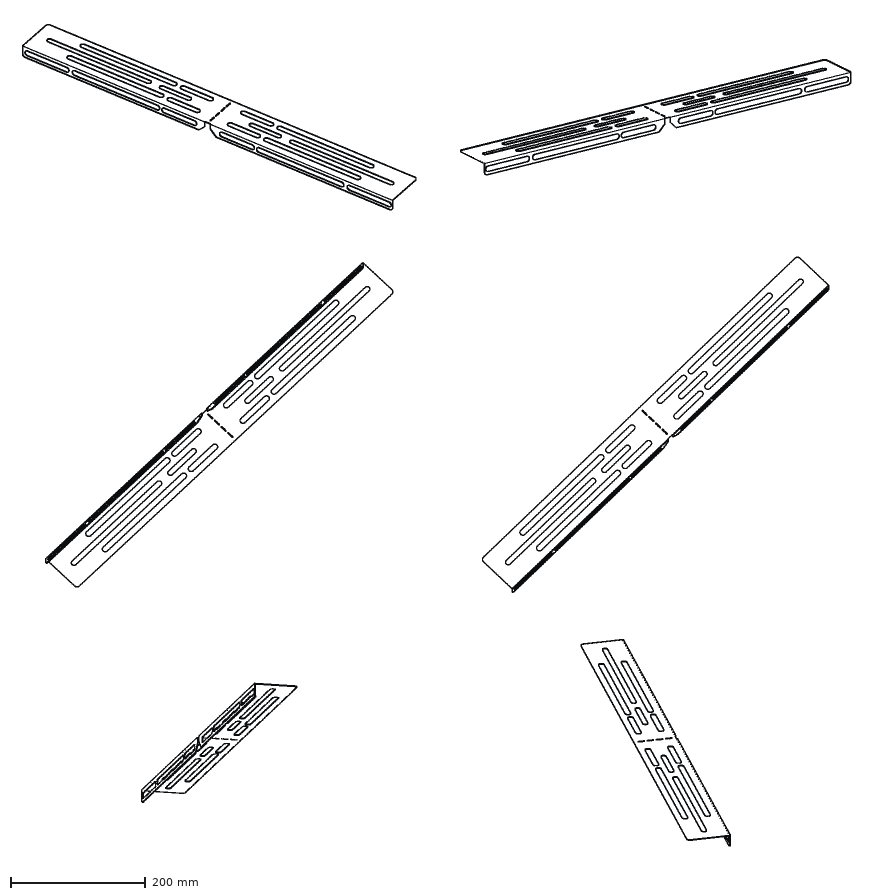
import cadquery as cq

length = 670.0
depth = 66.0
height = 20.0
sheet = 1.5
corner_radius = 5.0
front_y = -depth / 2
flange_inner_y = front_y + sheet

gap_width = 10.0
gap_chamfer = 11.0

slot_width = 9.0
middle_slot_width = 8.0
outer_row_slots = [(25.5, 84.0), (91.0, 265.0)]
middle_row_slots = [(53.0, 110.0), (126.0, 313.5)]
middle_row_y = 1.5
row_pitch = 17.5

flange_slots = [(21.0, 84.0), (88.0, 246.0), (252.0, 331.5)]
flange_slot_shift = 1.0
flange_slot_z = -(height + sheet) / 2

slit_count = 4
slit_pitch = 14.0
slit_length = 10.0
slit_width = 1.5
slit_line_y = (flange_inner_y + depth / 2) / 2


def mirrored_slots(plane, spans, offset, width, shift=0):
    """Cutters for slots at a fixed offset, mirrored about mid-length and then shifted along X."""
    cutters = cq.Workplane(plane)
    for inner, outer in spans:
        middle = (inner + outer) / 2
        centres = [(shift - middle, offset), (shift + middle, offset)]
        slots = cq.Workplane(plane).pushPoints(centres).slot2D(outer - inner, width)
        cutters = cutters.add(slots.extrude(depth, both=True))
    return cutters


def cut_slots(body, cutters):
    for cutter in cutters.vals():
        body = body.cut(cutter)
    return body


def make_plate():
    plate = cq.Workplane("XY").box(length, depth, sheet, centered=(True, True, False))
    plate = plate.translate((0, 0, -sheet)).edges("|Z and >Y").fillet(corner_radius)
    notch = cq.Workplane("XY").box(gap_width, 2 * sheet, 2 * sheet).translate((0, front_y, -sheet / 2))
    plate = plate.cut(notch)
    plate = cut_slots(plate, mirrored_slots("XY", middle_row_slots, middle_row_y, middle_slot_width))
    for row_y in (middle_row_y - row_pitch, middle_row_y + row_pitch):
        plate = cut_slots(plate, mirrored_slots("XY", outer_row_slots, row_y, slot_width))
    return plate


def cut_perforations(plate):
    first_y = slit_line_y - (slit_count - 1) * slit_pitch / 2
    centres = [(0, first_y + i * slit_pitch) for i in range(slit_count)]
    slits = cq.Workplane("XY").pushPoints(centres).slot2D(slit_length, slit_width, 90)
    return plate.cut(slits.extrude(-sheet))


def make_flange():
    half_gap = gap_width / 2
    half = (
        cq.Workplane("XZ", origin=(0, flange_inner_y, 0))
        .moveTo(half_gap, 0)
        .lineTo(length / 2, 0)
        .lineTo(length / 2, -height)
        .lineTo(half_gap + gap_chamfer, -height)
        .lineTo(half_gap, gap_chamfer - height)
        .close()
        .extrude(sheet)
        .edges("|Y and >X and <Z")
        .fillet(corner_radius)
    )
    flange = half.union(half.mirror("YZ"))
    cutters = mirrored_slots("XZ", flange_slots, flange_slot_z, slot_width, flange_slot_shift)
    return cut_slots(flange, cutters)


result = cut_perforations(make_plate()).union(make_flange())